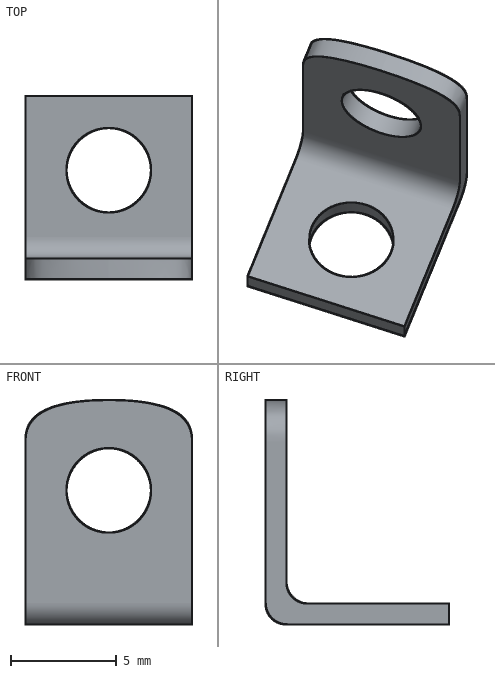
import cadquery as cq

width = 7.92
depth = 8.71
height = 10.66

thickness = 1.0
bend_radius = 1.0

hole_diameter = 4.0
upright_hole_z = 6.36
base_hole_y = 5.18

crown_height = 1.99
shoulder_handle = 0.76
top_handle = 3.72


def bent_sheet():
    """L-shaped section with its outer corner at the origin, rounded inside and out."""
    section = (
        cq.Workplane("YZ")
        .polyline([
            (0, 0),
            (depth, 0),
            (depth, thickness),
            (thickness, thickness),
            (thickness, height),
            (0, height),
        ])
        .close()
        .extrude(width / 2, both=True)
    )
    outer_corner = cq.selectors.NearestToPointSelector((0, 0, 0))
    inner_corner = cq.selectors.NearestToPointSelector((0, thickness, thickness))
    return section.edges(outer_corner).fillet(bend_radius).edges(inner_corner).fillet(bend_radius)


def crown_envelope():
    """Front outline of the bracket, with a smooth domed top, through the full depth."""
    half_width = width / 2
    shoulder_z = height - crown_height
    return (
        cq.Workplane("XZ")
        .moveTo(-half_width, 0)
        .lineTo(half_width, 0)
        .lineTo(half_width, shoulder_z)
        .bezier(
            [
                (half_width, shoulder_z + shoulder_handle),
                (top_handle, height),
                (0, height),
            ],
            includeCurrent=True,
        )
        .bezier(
            [
                (-top_handle, height),
                (-half_width, shoulder_z + shoulder_handle),
                (-half_width, shoulder_z),
            ],
            includeCurrent=True,
        )
        .close()
        .extrude(-depth)
    )


def upright_hole():
    return (
        cq.Workplane("XZ")
        .center(0, upright_hole_z)
        .circle(hole_diameter / 2)
        .extrude(-thickness)
    )


def base_hole():
    return (
        cq.Workplane("XY")
        .center(0, base_hole_y)
        .circle(hole_diameter / 2)
        .extrude(thickness)
    )


result = bent_sheet().intersect(crown_envelope()).cut(upright_hole()).cut(base_hole())